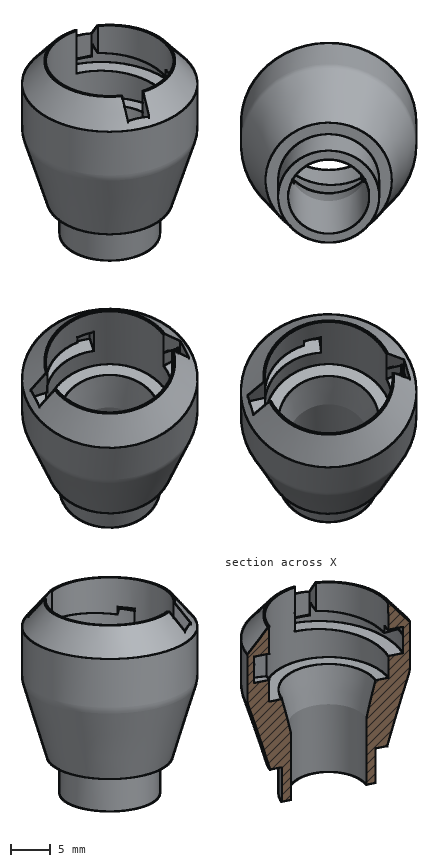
import cadquery as cq
import math

height = 25.85
body_radius = 22.0 / 2
spigot_radius = 6.33
spigot_height = 5.01
taper_bottom_radius = 7.9
taper_top_z = 15.43
taper_blend_radius = 3.0
shoulder_z = 22.46
rim_radius = 8.2

socket_radius = 16.0 / 2
socket_depth = 10.85
through_radius = 10.15 / 2
funnel_top_radius = 12.6 / 2
funnel_height = 5.17

slot_width = 2.85
slot_reach = 10.13
slot_depth = 5.82
channel_roof_depth = 3.8
track_radius = 10.0
cutter_inner_radius = 7.5
channel_height = 2.64
channel_end_drop = 1.37
lock_roof_depth = 3.95
lock_angle = 16.0
entry_angle = math.degrees(math.asin(slot_width / 2 / socket_radius))
channel_sweep = entry_angle + 90 + lock_angle / 2
lock_end_angle = entry_angle - channel_sweep


def make_body():
    """Spigot, blended taper, cylindrical band and conical shoulder."""
    taper_angle = math.atan2(body_radius - taper_bottom_radius, taper_top_z - spigot_height)
    blend_length = taper_blend_radius * math.tan(taper_angle / 2)
    blend_bottom = (
        body_radius - blend_length * math.sin(taper_angle),
        taper_top_z - blend_length * math.cos(taper_angle),
    )
    blend_middle = (
        body_radius - taper_blend_radius * (1 - math.cos(taper_angle / 2)),
        taper_top_z + blend_length - taper_blend_radius * math.sin(taper_angle / 2),
    )
    return (
        cq.Workplane("XZ")
        .lineTo(spigot_radius, 0)
        .lineTo(spigot_radius, spigot_height)
        .lineTo(taper_bottom_radius, spigot_height)
        .lineTo(*blend_bottom)
        .threePointArc(blend_middle, (body_radius, taper_top_z + blend_length))
        .lineTo(body_radius, shoulder_z)
        .lineTo(rim_radius, height)
        .lineTo(0, height)
        .close()
        .revolve(360, (0, 0), (0, 1))
    )


def make_bore():
    """Socket at the top, funnelling into a smaller through hole."""
    socket_floor_z = height - socket_depth
    return (
        cq.Workplane("XZ")
        .lineTo(through_radius, 0)
        .lineTo(through_radius, socket_floor_z - funnel_height)
        .lineTo(funnel_top_radius, socket_floor_z)
        .lineTo(socket_radius, socket_floor_z)
        .lineTo(socket_radius, height)
        .lineTo(0, height)
        .close()
        .revolve(360, (0, 0), (0, 1))
    )


def make_channel():
    """Rectangular groove rising counterclockwise from the lock end to the entry."""
    path = cq.Wire.makeHelix(channel_end_drop * 360 / channel_sweep, channel_end_drop, socket_radius)
    profile_width = track_radius - cutter_inner_radius
    groove = (
        cq.Workplane("XZ")
        .center(cutter_inner_radius + profile_width / 2, 0)
        .rect(profile_width, channel_height)
        .sweep(cq.Workplane(path), isFrenet=True)
    )
    middle_z = height - channel_roof_depth - channel_end_drop - channel_height / 2
    return groove.translate((0, 0, middle_z)).rotate((0, 0, 0), (0, 0, 1), lock_end_angle)


def make_lock_pocket():
    """Raised pie-shaped pocket above the closed end of the channel."""
    pocket_height = channel_roof_depth + channel_end_drop + channel_height / 2 - lock_roof_depth
    return (
        cq.Workplane("XZ")
        .rect(track_radius, pocket_height, centered=False)
        .revolve(lock_angle, (0, 0), (0, 1))
        .rotate((0, 0, 0), (0, 0, 1), lock_end_angle)
        .translate((0, 0, height - lock_roof_depth - pocket_height))
    )


def make_track():
    """Entry slot on +X, falling channel and raised lock pocket."""
    slot = (
        cq.Workplane("XY")
        .box(slot_reach, slot_width, slot_depth, centered=(False, True, False))
        .translate((0, 0, height - slot_depth))
    )
    return slot, make_channel(), make_lock_pocket()


result = make_body().cut(make_bore())
for side_angle in (0, 180):
    for cutter in make_track():
        result = result.cut(cutter.rotate((0, 0, 0), (0, 0, 1), side_angle))